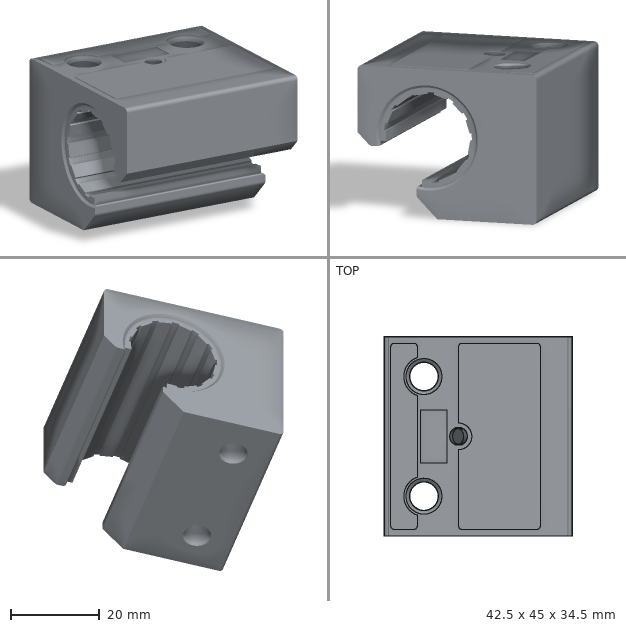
import cadquery as cq
import math


length = 45.0
half_length = length / 2
left_side = -26.0
right_side = 16.5
base_bottom = -18.5
pad_height = 0.2
pad_top = 16.0
block_top = pad_top - pad_height
edge_radius = 1.0
slant_offset = 16.1
lip_offset = 2.55
lip_radius = 1.0
lip_inner_radius = 0.3

bore_radius = 11.5
bore_chamfer = 0.55
liner_end_gap = bore_chamfer
liner_opening_offset = 1.4
land_count = 13
land_distance = 9.9
groove_radius = 10.45
groove_width = 1.7
opening_direction = -45.0
open_grooves = 3

mount_x = -17.0
mount_y = 13.5
mount_diameter = 6.4
mount_mouth_diameter = 8.1
mount_mouth_depth = (mount_mouth_diameter - mount_diameter) / 2

pin_hole_x = -9.2
pin_hole_radius = 2.0
pin_radius = 1.75
pin_tip_distance = 13.15
pin_root_distance = (groove_radius + bore_radius) / 2
pin_direction = cq.Vector(-1, 0, 1).normalized()

pad_margin = 1.5
pad_corner_radius = 0.8
narrow_pad_right = -18.5
wide_pad_left = pin_hole_x
wide_pad_right = 9.25
mount_clearance_radius = 4.55
pin_clearance_radius = 3.0
label_x = -14.8
label_width = 6.0
label_length = 12.0
label_depth = 0.2


def y_prism(outline, prism_length):
    """Extrude a closed XZ outline, centred on Y = 0."""
    return outline.extrude(prism_length / 2, both=True)


def y_cylinder(radius, cylinder_length):
    return y_prism(cq.Workplane("XZ").circle(radius), cylinder_length)


def opening_quadrant(offset):
    """Corner prism that opens everything right of and below the offset."""
    reach = right_side - base_bottom
    outline = cq.Workplane("XZ").moveTo(offset, -offset).lineTo(offset + reach, -offset)
    outline = outline.lineTo(offset + reach, -offset - reach).lineTo(offset, -offset - reach).close()
    return y_prism(outline, length)


def make_block():
    outline = (
        cq.Workplane("XZ")
        .moveTo(left_side, base_bottom)
        .lineTo(slant_offset + base_bottom, base_bottom)
        .lineTo(lip_offset, lip_offset - slant_offset)
        .lineTo(lip_offset, -lip_offset)
        .lineTo(slant_offset - lip_offset, -lip_offset)
        .lineTo(right_side, right_side - slant_offset)
        .lineTo(right_side, block_top)
        .lineTo(left_side, block_top)
        .close()
    )
    block = y_prism(outline, length)
    outer_corners = [(left_side, base_bottom), (left_side, block_top), (right_side, block_top)]
    lip_corners = [(lip_offset, lip_offset - slant_offset), (slant_offset - lip_offset, -lip_offset)]
    for corners, radius in ((outer_corners, edge_radius), (lip_corners, lip_radius)):
        for x, z in corners:
            block = block.edges(cq.NearestToPointSelector((x, 0, z))).fillet(radius)
    return block


def cut_bore(block):
    """Through bore with rounded lip edges and a chamfered mouth at each end."""
    block = block.cut(y_cylinder(bore_radius, length))
    lip_reach = math.sqrt(bore_radius**2 - lip_offset**2)
    for x, z in ((lip_offset, -lip_reach), (lip_reach, -lip_offset)):
        block = block.edges(cq.NearestToPointSelector((x, 0, z))).fillet(lip_inner_radius)
    mouth_radius = bore_radius + bore_chamfer
    for side in (-1, 1):
        mouth = cq.Solid.makeCone(
            mouth_radius, bore_radius, bore_chamfer,
            cq.Vector(0, side * half_length, 0), cq.Vector(0, -side, 0),
        )
        block = block.cut(cq.Workplane(mouth))
    return block


def make_liner():
    """Sleeve with flat lands, a groove between neighbouring lands and an open corner."""
    liner_length = length - 2 * liner_end_gap
    pitch = 360 / land_count
    corner_diameter = 2 * land_distance / math.cos(math.pi / land_count)
    core = y_prism(cq.Workplane("XZ").polygon(land_count, corner_diameter), length)
    core = core.rotate((0, 0, 0), (0, 1, 0), -opening_direction)
    liner = y_cylinder(bore_radius, liner_length).cut(core)
    groove = cq.Workplane("XY").box(groove_radius, length, groove_width, centered=(False, True, True))
    groove_count = land_count - open_grooves
    middle = (groove_count - 1) / 2
    for index in range(groove_count):
        angle = opening_direction + 180 + (index - middle) * pitch
        liner = liner.cut(groove.rotate((0, 0, 0), (0, 1, 0), -angle))
    return liner.cut(opening_quadrant(liner_opening_offset))


def make_mounting_hole(y):
    """Through hole with a conical mouth at the top."""
    hole = cq.Solid.makeCylinder(
        mount_diameter / 2, block_top - base_bottom, cq.Vector(mount_x, y, base_bottom)
    )
    mouth = cq.Solid.makeCone(
        mount_diameter / 2, mount_mouth_diameter / 2, mount_mouth_depth,
        cq.Vector(mount_x, y, block_top - mount_mouth_depth),
    )
    return cq.Workplane(hole).union(cq.Workplane(mouth))


def make_pin_hole():
    """Upright hole meeting a slanted bore-side hole that leaves clearance around the pin."""
    meeting_height = -pin_hole_x
    upright = cq.Solid.makeCylinder(
        pin_hole_radius, block_top - meeting_height, cq.Vector(pin_hole_x, 0, meeting_height)
    )
    slanted_length = pin_tip_distance - pin_root_distance + pin_hole_radius / math.sqrt(2)
    slanted = cq.Solid.makeCylinder(
        pin_hole_radius, slanted_length, pin_direction * pin_root_distance, pin_direction
    )
    return cq.Workplane(upright).union(cq.Workplane(slanted))


def make_pin():
    """Radial pin from inside the liner wall out to its flat tip."""
    pin = cq.Solid.makeCylinder(
        pin_radius, pin_tip_distance - pin_root_distance, pin_direction * pin_root_distance, pin_direction
    )
    return cq.Workplane(pin)


def make_pad(left, right, clearance_points, clearance_radius):
    """Thin raised pad with round corners, kept clear of the holes beside it."""
    top = cq.Workplane("XY", origin=(0, 0, block_top))
    pad = top.center((left + right) / 2, 0).rect(right - left, length - 2 * pad_margin).extrude(pad_height)
    pad = pad.edges("|Z").fillet(pad_corner_radius)
    return pad.cut(top.pushPoints(clearance_points).circle(clearance_radius).extrude(pad_height))


def make_label_field():
    field = cq.Workplane("XY", origin=(label_x, 0, block_top))
    return field.rect(label_width, label_length).extrude(-label_depth)


mount_points = [(mount_x, -mount_y), (mount_x, mount_y)]

housing = cut_bore(make_block()).cut(make_pin_hole()).cut(make_label_field())
for _, hole_y in mount_points:
    housing = housing.cut(make_mounting_hole(hole_y))

narrow_pad = make_pad(left_side + pad_margin, narrow_pad_right, mount_points, mount_clearance_radius)
wide_pad = make_pad(wide_pad_left, wide_pad_right, [(pin_hole_x, 0)], pin_clearance_radius)

result = housing.union(make_liner()).union(make_pin()).union(narrow_pad).union(wide_pad)